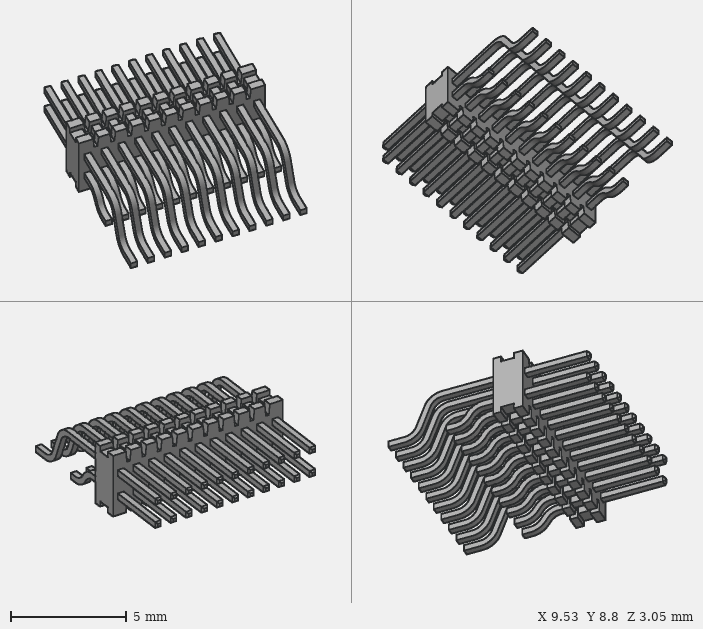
import cadquery as cq
import math

PIN_COUNT = 11
BODY_WIDTH = 8.8
PITCH = BODY_WIDTH / PIN_COUNT
ROW_SPACING = 1.17

BODY_HEIGHT = 3.05
BODY_DEPTH = 1.4
BODY_FRONT_X = 3.04
MID_HEIGHT = BODY_HEIGHT / 2

CHANNEL_OFFSET = 0.42
CHANNEL_WIDTH = 0.61
CHANNEL_DEPTH = 0.27

NOTCH_DEPTH = 0.52
NOTCH_MOUTH = 0.26
NOTCH_FLOOR = 0.15
POCKET_WIDTH = 0.42
POCKET_DEPTH = 0.67

PIN_SIZE = 0.305
TIP_LENGTH = 0.1
TIP_SIZE = 0.15

BEND_RADIUS = 0.74
UPPER_BEND_X = 6.98
UPPER_BEND_ANGLE = 68.5
UPPER_END_X = 9.53
LOWER_BEND_X = 5.05
LOWER_BEND_ANGLE = 55.3
LOWER_END_X = 6.77

UPPER_PIN_Z = MID_HEIGHT + ROW_SPACING / 2
LOWER_PIN_Z = MID_HEIGHT - ROW_SPACING / 2


def centred_positions(count):
    """Y positions of a row of features at the contact pitch, centred on Y = 0."""
    return [(i - (count - 1) / 2) * PITCH for i in range(count)]


def box_from(x, y_centre, z, length, width, height):
    """Box starting at x and z, centred on y_centre."""
    box = cq.Workplane("XY").box(length, width, height, centered=(False, True, False))
    return box.translate((x, y_centre, z))


def top_cuts():
    """Material removed from the top of the body: channel, notches and pockets."""
    channel_x = BODY_FRONT_X + CHANNEL_OFFSET
    cuts = box_from(channel_x, 0, BODY_HEIGHT - CHANNEL_DEPTH, CHANNEL_WIDTH, BODY_WIDTH, CHANNEL_DEPTH)
    floor_z = BODY_HEIGHT - NOTCH_DEPTH
    pocket_z = BODY_HEIGHT - POCKET_DEPTH
    for y in centred_positions(PIN_COUNT - 1):
        notch = (
            cq.Workplane("YZ", origin=(BODY_FRONT_X, y, 0))
            .polyline([
                (-NOTCH_FLOOR / 2, floor_z),
                (NOTCH_FLOOR / 2, floor_z),
                (NOTCH_MOUTH / 2, BODY_HEIGHT),
                (-NOTCH_MOUTH / 2, BODY_HEIGHT),
            ])
            .close()
            .extrude(BODY_DEPTH)
        )
        pocket = box_from(channel_x, y, pocket_z, CHANNEL_WIDTH, POCKET_WIDTH, POCKET_DEPTH)
        cuts = cuts.union(notch).union(pocket)
    return cuts


def make_body():
    """Insulator block, cut alike on its top and bottom."""
    block = box_from(BODY_FRONT_X, 0, 0, BODY_DEPTH, BODY_WIDTH, BODY_HEIGHT)
    cuts = top_cuts()
    mirrored_cuts = cuts.mirror("XY", (0, 0, MID_HEIGHT))
    return block.cut(cuts).cut(mirrored_cuts)


def make_pin(pin_z, bend_x, bend_angle, end_x):
    """One contact: tapered tip, straight shank, two opposite bends and a foot resting on Z = 0."""
    half = PIN_SIZE / 2
    angle = math.radians(bend_angle)
    sine = math.sin(angle)
    cosine = math.cos(angle)
    drop = pin_z - half
    slope_length = (drop - 2 * BEND_RADIUS * (1 - cosine)) / sine
    foot_x = bend_x + 2 * BEND_RADIUS * sine + slope_length * cosine
    upper_centre_z = pin_z - BEND_RADIUS
    lower_centre_z = half + BEND_RADIUS

    def upper_arc_point(radius, turn):
        return (bend_x + radius * math.sin(turn), upper_centre_z + radius * math.cos(turn))

    def lower_arc_point(radius, turn):
        return (foot_x - radius * math.sin(turn), lower_centre_z - radius * math.cos(turn))

    inner = BEND_RADIUS - half
    outer = BEND_RADIUS + half
    wire = (
        cq.Workplane("XZ")
        .moveTo(TIP_LENGTH, pin_z + half)
        .lineTo(bend_x, pin_z + half)
        .threePointArc(upper_arc_point(outer, angle / 2), upper_arc_point(outer, angle))
        .lineTo(*lower_arc_point(inner, angle))
        .threePointArc(lower_arc_point(inner, angle / 2), (foot_x, PIN_SIZE))
        .lineTo(end_x, PIN_SIZE)
        .lineTo(end_x, 0)
        .lineTo(foot_x, 0)
        .threePointArc(lower_arc_point(outer, angle / 2), lower_arc_point(outer, angle))
        .lineTo(*upper_arc_point(inner, angle))
        .threePointArc(upper_arc_point(inner, angle / 2), (bend_x, pin_z - half))
        .lineTo(TIP_LENGTH, pin_z - half)
        .close()
        .extrude(half, both=True)
    )
    tip = (
        cq.Workplane("YZ", origin=(0, 0, pin_z))
        .rect(TIP_SIZE, TIP_SIZE)
        .workplane(offset=TIP_LENGTH)
        .rect(PIN_SIZE, PIN_SIZE)
        .loft(ruled=True)
    )
    return wire.union(tip)


upper_pin = make_pin(UPPER_PIN_Z, UPPER_BEND_X, UPPER_BEND_ANGLE, UPPER_END_X)
lower_pin = make_pin(LOWER_PIN_Z, LOWER_BEND_X, LOWER_BEND_ANGLE, LOWER_END_X)

result = make_body()
for pin_y in centred_positions(PIN_COUNT):
    for pin in (upper_pin, lower_pin):
        result = result.union(pin.translate((0, pin_y, 0)))